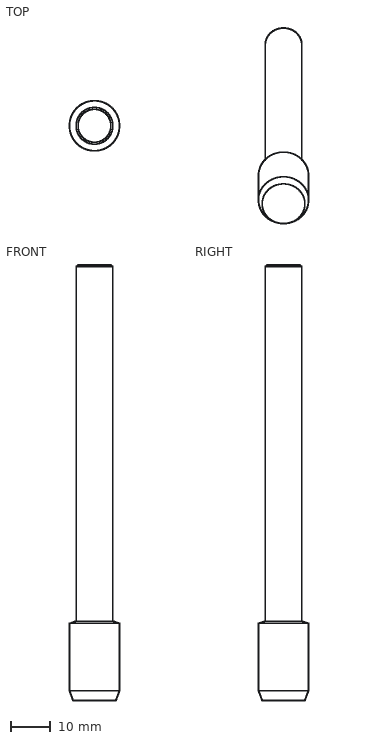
import cadquery as cq

total_length = 110.0
head_diameter = 12.7
shank_diameter = 9.3

head_length = 20.1
lead_in_height = 2.5
lead_in_end_diameter = 10.8
shoulder_height = 0.6

shank_length = total_length - head_length
shank_chamfer = 0.5


def make_head():
    """Turned head standing on Z = 0, its top face as wide as the shank."""
    head_radius = head_diameter / 2
    shoulder_base = head_length - shoulder_height
    half_section = (
        cq.Workplane("XZ")
        .lineTo(lead_in_end_diameter / 2, 0)
        .lineTo(head_radius, lead_in_height)
        .lineTo(head_radius, shoulder_base)
        .lineTo(shank_diameter / 2, head_length)
        .lineTo(0, head_length)
        .close()
    )
    return half_section.revolve(360, (0, 0, 0), (0, 1, 0))


def make_shank():
    """Round shank butted against the top face of the head."""
    return (
        cq.Workplane("XY")
        .workplane(offset=head_length)
        .circle(shank_diameter / 2)
        .extrude(shank_length)
        .faces(">Z")
        .chamfer(shank_chamfer)
    )


head = make_head()
shank = make_shank()

result = cq.Compound.makeCompound([head.val(), shank.val()])